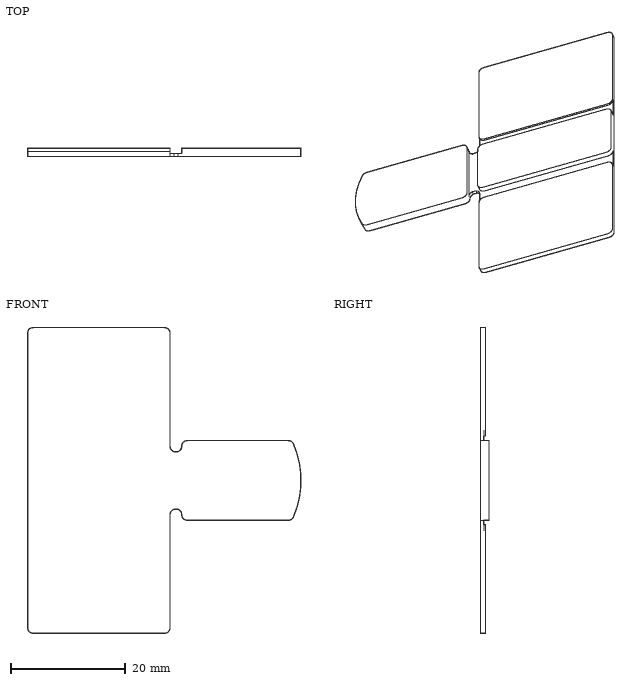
import cadquery as cq
import math

overall_length = 47.95
plate_width = 25.0
plate_height = 53.6
plate_thickness = 0.9
corner_radius = 1.0

grip_thickness = 1.5
grip_height = 14.0
grip_end_radius = 16.0
neck_thickness = 0.6
neck_length = 2.0
neck_height = 10.12
notch_radius = neck_length / 2
notch_centre_z = grip_height / 2 - corner_radius

pad_height = 11.5
channel_margin = 2.0
channel_height = pad_height + 2 * channel_margin

grip_start = plate_width + neck_length


def rounded_block(width, height, thickness):
    """Block from X = 0 and Y = 0, centred on Z, with its corners rounded in the XZ plane."""
    block = cq.Workplane("XY").box(width, thickness, height, centered=(False, False, True))
    return block.edges("|Y").fillet(corner_radius)


def make_plate():
    return rounded_block(plate_width, plate_height, plate_thickness)


def make_channel():
    """Cutter for the back channel, flaring with quarter rounds where it meets the plate sides."""
    depth = plate_thickness - neck_thickness
    half = channel_height / 2
    flared_half = half + corner_radius
    arc_inset = corner_radius * (1 - math.sqrt(0.5))
    near = corner_radius
    far = plate_width - corner_radius
    return (
        cq.Workplane("XZ", origin=(0, neck_thickness, 0))
        .moveTo(0, -flared_half)
        .lineTo(0, flared_half)
        .threePointArc((arc_inset, half + arc_inset), (near, half))
        .lineTo(far, half)
        .threePointArc((plate_width - arc_inset, half + arc_inset), (plate_width, flared_half))
        .lineTo(plate_width, -flared_half)
        .threePointArc((plate_width - arc_inset, -half - arc_inset), (far, -half))
        .lineTo(near, -half)
        .threePointArc((arc_inset, -half - arc_inset), (0, -flared_half))
        .close()
        .extrude(-depth)
    )


def make_pad():
    return rounded_block(plate_width, pad_height, grip_thickness)


def neck_block(height):
    return cq.Workplane("XY").box(neck_length, neck_thickness, height, centered=(False, False, True))


def make_neck():
    """Thin web between plate and grip; each notch is a round cut short by a narrow flat bottom."""
    notches = (
        cq.Workplane("XZ")
        .pushPoints([(notch_radius, notch_centre_z), (notch_radius, -notch_centre_z)])
        .circle(notch_radius)
        .extrude(-neck_thickness)
    )
    web = neck_block(2 * notch_centre_z).cut(notches).union(neck_block(neck_height))
    return web.translate((plate_width, 0, 0))


def make_grip():
    """Thick tab with rounded corners and a bowed outer end."""
    half = grip_height / 2
    sagitta = grip_end_radius - math.sqrt(grip_end_radius**2 - half**2)
    end_corner_x = overall_length - sagitta
    return (
        cq.Workplane("XZ")
        .moveTo(grip_start, -half)
        .lineTo(end_corner_x, -half)
        .threePointArc((overall_length, 0), (end_corner_x, half))
        .lineTo(grip_start, half)
        .close()
        .extrude(-grip_thickness)
        .edges("|Y")
        .fillet(corner_radius)
    )


result = make_plate().cut(make_channel()).union(make_pad()).union(make_neck()).union(make_grip())